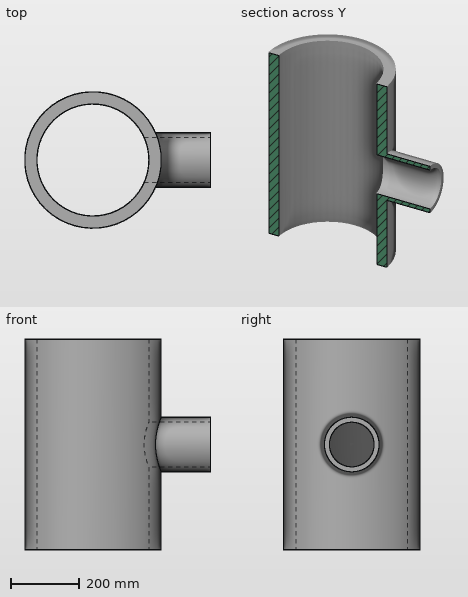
import cadquery as cq

main_diameter = 400.0
main_wall = 36.4
main_length = 617.0

branch_diameter = 160.0
branch_wall = 14.6
branch_reach = 345.0


def main_cylinder(diameter):
    """Upright cylinder over the full length of the main pipe."""
    return cq.Workplane("XY").circle(diameter / 2).extrude(main_length / 2, both=True)


def branch_cylinder(diameter):
    """Cylinder along +X from the main axis to the end of the branch."""
    return cq.Workplane("YZ").circle(diameter / 2).extrude(branch_reach)


main_bore_diameter = main_diameter - 2 * main_wall
branch_bore_diameter = branch_diameter - 2 * branch_wall

outer_body = main_cylinder(main_diameter).union(branch_cylinder(branch_diameter))

result = outer_body.cut(main_cylinder(main_bore_diameter)).cut(branch_cylinder(branch_bore_diameter))